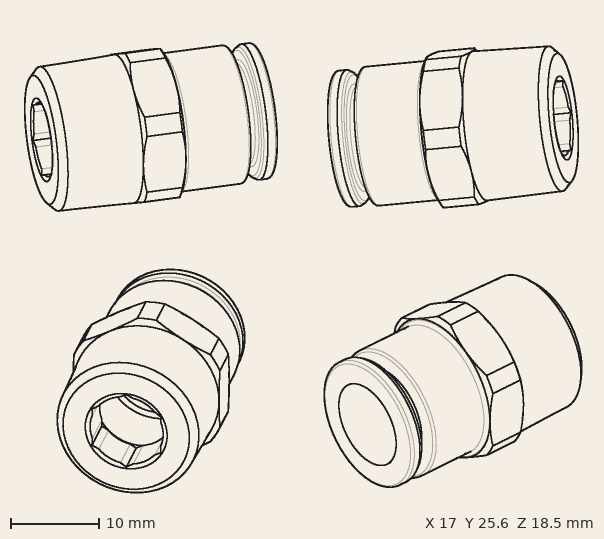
import cadquery as cq
import math


overall_length = 25.65
socket_depth = 4.9
seat_depth = 6.3
hex_front = 9.67
hex_rear = 14.67
housing_rear = 22.5
flange_front = 23.83

thread_front_radius = 8.25
thread_chamfer = 0.9

hex_across_flats = 17.0
hex_corner_diameter = 18.5
hex_chamfer_angle = 30

barrel_radius = 7.93
barrel_edge_fillet = 0.28
barrel_root_fillet = 0.44

socket_across_flats = 8.0
socket_relief_radius = 4.25
socket_mouth_radius = 4.77
socket_mouth_depth = 0.2
seat_radius = 5.0

sleeve_front = hex_rear
sleeve_bore_radius = seat_radius
neck_radius = 5.77
neck_fillet = 0.33
flange_radius = 7.77
flange_rear_fillet = 0.3
flange_front_fillet = 0.4
flange_chamfer_length = 0.65
flange_chamfer_angle = 30


def cylinder(radius, start, end):
    """Solid cylinder on the Y axis between two stations."""
    return cq.Workplane("XZ", origin=(0, start, 0)).circle(radius).extrude(start - end)


def hex_prism(across_flats, start, end):
    """Hexagonal prism on the Y axis with its corners pointing up and down."""
    across_corners = across_flats / math.cos(math.radians(30))
    return (
        cq.Workplane("XZ", origin=(0, start, 0))
        .transformed(rotate=(0, 0, 90))
        .polygon(6, across_corners)
        .extrude(start - end)
    )


def revolve_about_y(profile):
    """Turns a closed profile of (station, radius) drawn in the YZ plane about the Y axis."""
    return profile.close().revolve(360, (0, 0, 0), (1, 0, 0))


def thread():
    """Tapered thread envelope, chamfered at the front and level with the hexagon flats at the rear."""
    return revolve_about_y(
        cq.Workplane("YZ")
        .moveTo(0, 0)
        .lineTo(0, thread_front_radius - thread_chamfer)
        .lineTo(thread_chamfer, thread_front_radius)
        .lineTo(hex_front, hex_across_flats / 2)
        .lineTo(hex_front, 0)
    )


def hexagon():
    """Hexagon with turned corners, chamfered down to its flats at both ends."""
    face_radius = hex_across_flats / 2
    corner_radius = hex_corner_diameter / 2
    chamfer_length = (corner_radius - face_radius) * math.tan(math.radians(hex_chamfer_angle))
    turned_blank = revolve_about_y(
        cq.Workplane("YZ")
        .moveTo(hex_front, 0)
        .lineTo(hex_front, face_radius)
        .lineTo(hex_front + chamfer_length, corner_radius)
        .lineTo(hex_rear - chamfer_length, corner_radius)
        .lineTo(hex_rear, face_radius)
        .lineTo(hex_rear, 0)
    )
    return hex_prism(hex_across_flats, hex_front, hex_rear).intersect(turned_blank)


def barrel():
    """Rear barrel, flared into the hexagon and rounded at its rear edge."""
    return revolve_about_y(
        cq.Workplane("YZ")
        .moveTo(hex_rear, 0)
        .lineTo(hex_rear, barrel_radius + barrel_root_fillet)
        .radiusArc((hex_rear + barrel_root_fillet, barrel_radius), -barrel_root_fillet)
        .lineTo(housing_rear - barrel_edge_fillet, barrel_radius)
        .radiusArc((housing_rear, barrel_radius - barrel_edge_fillet), barrel_edge_fillet)
        .lineTo(housing_rear, 0)
    )


def socket_mouth():
    """Countersink that runs out at the relief circle of the socket."""
    return revolve_about_y(
        cq.Workplane("YZ")
        .moveTo(0, 0)
        .lineTo(0, socket_mouth_radius)
        .lineTo(socket_mouth_depth, socket_relief_radius)
        .lineTo(socket_mouth_depth, 0)
    )


def make_housing():
    """Thread, hexagon and barrel in one piece, bored through in steps."""
    return (
        thread()
        .union(hexagon())
        .union(barrel())
        .cut(hex_prism(socket_across_flats, 0, socket_depth))
        .cut(cylinder(socket_relief_radius, 0, socket_depth))
        .cut(socket_mouth())
        .cut(cylinder(seat_radius, socket_depth, seat_depth))
        .cut(cylinder(neck_radius, seat_depth, housing_rear))
    )


def make_release_sleeve():
    """Tube with an end flange, turned as one profile from its bore outwards."""
    slope = math.radians(flange_chamfer_angle)
    corner_radius = flange_radius - flange_chamfer_length * math.tan(slope)
    tangent_length = flange_front_fillet * math.tan((math.pi / 2 - slope) / 2)
    arc_start = (flange_front, corner_radius - tangent_length)
    arc_end = (
        flange_front + tangent_length * math.cos(slope),
        corner_radius + tangent_length * math.sin(slope),
    )
    return revolve_about_y(
        cq.Workplane("YZ")
        .moveTo(sleeve_front, sleeve_bore_radius)
        .lineTo(sleeve_front, neck_radius)
        .lineTo(flange_front - neck_fillet, neck_radius)
        .radiusArc((flange_front, neck_radius + neck_fillet), -neck_fillet)
        .lineTo(*arc_start)
        .radiusArc(arc_end, flange_front_fillet)
        .lineTo(flange_front + flange_chamfer_length, flange_radius)
        .lineTo(overall_length - flange_rear_fillet, flange_radius)
        .radiusArc((overall_length, flange_radius - flange_rear_fillet), flange_rear_fillet)
        .lineTo(overall_length, sleeve_bore_radius)
    )


housing = make_housing()
release_sleeve = make_release_sleeve()

result = cq.Compound.makeCompound([housing.val(), release_sleeve.val()])